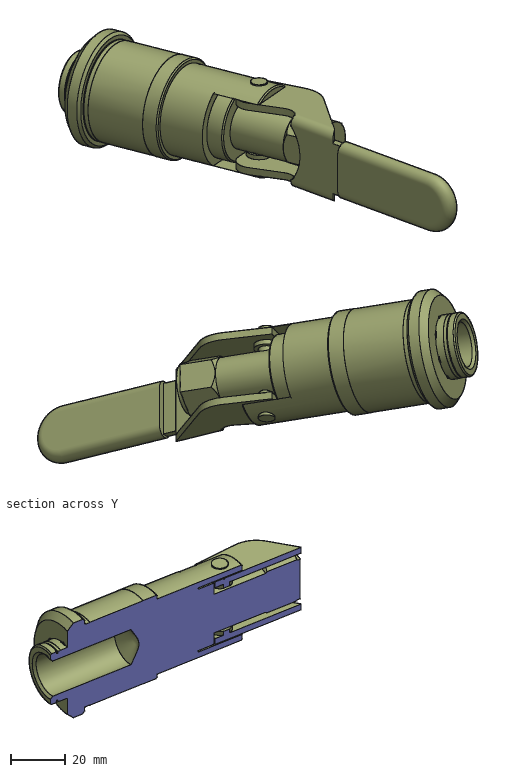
import cadquery as cq
import math

total_length = 178.8

nose_diameter = 24.1
nose_chamfer = 0.5
flange_diameter = 44.2
flange_start = 7.5
flange_end = 15.4
flange_front_chamfer = 2.7
flange_rear_chamfer = 1.0
body_diameter = 38.8
seam_diameter = 38.6
seam_start = 15.7
seam_end = 17.5
rear_band_diameter = 39.0
rear_band_start = 41.1
rear_band_end = 47.5
rear_band_chamfer = 0.5

groove_start = 2.9
groove_end = 4.5
groove_diameter = 22.3
ring_diameter = 24.0
ring_start = 3.2
ring_gap_width = 3.5
ring_gap_angle = 16.0
collar_corner_diameter = 25.0
collar_thickness = 0.4
collar_sides = 8

bore_diameter = 16.8
bore_mouth_diameter = 18.8
bore_mouth_depth = 1.0
bore_depth = 35.8
drill_point_angle = 118.0

clevis_diameter = 35.2
clevis_shoulder = 65.8
clevis_end = 85.3
clevis_chamfer = 0.5
clevis_slot_width = 29.3
sleeve_diameter = 29.0
sleeve_end = 72.8
sleeve_chamfer = 0.5

rod_diameter = 18.8
hex_start = 95.6
hex_end = 109.6
rod_end = 111.0
hex_across_flats = 19.1
hex_chamfer_angle = 45.0

pivot_x = 78.3
pivot_y = 2.0
pin_diameter = 6.3
pin_length = 36.1
washer_diameter = 9.5
washer_spacing = 19.7

sheet = 2.9
lever_width = 29.0
lever_inner_width = lever_width - 2 * sheet
bend_radius = 3.5
lever_tilt = 10.0
cam_front = 73.0
cam_radius = 6.5
cam_lower_y = -10.2
cam_upper_y = 10.4
shoulder_x = 98.5
shoulder_y = 12.9
shoulder_radius = 12.5
slope_end_x = 120.1
slope_end_y = -13.0
web_end_x = 121.2
web_drop = 0.5
lower_rise_angle = 12.5
relief_start_x = 94.5
web_start_x = 100.8
web_start_y = -9.3
web_notch_radius = 16.1
web_notch_apex_x = 105.3
neck_width = 20.4

grip_start_x = 125.3
grip_start_y = -14.8
grip_width = 22.5
grip_thickness = 7.2

tilt = math.radians(lever_tilt)


def cylinder_x(diameter, start, end):
    """Solid cylinder on the clamp axis."""
    return cq.Workplane("YZ").workplane(offset=start).circle(diameter / 2).extrude(end - start)


def make_body():
    nose = cylinder_x(nose_diameter, 0, flange_start).faces("<X").chamfer(nose_chamfer)
    flange = cylinder_x(flange_diameter, flange_start, flange_end)
    flange = flange.faces("<X").chamfer(flange_front_chamfer)
    flange = flange.faces(">X").chamfer(flange_rear_chamfer)
    barrel = cylinder_x(body_diameter, flange_end, rear_band_start)
    seam = cylinder_x(body_diameter, seam_start, seam_end)
    seam = seam.cut(cylinder_x(seam_diameter, seam_start, seam_end))
    band = cylinder_x(rear_band_diameter, rear_band_start, rear_band_end)
    band = band.faces(">X").chamfer(rear_band_chamfer)
    return nose.union(flange).union(barrel.cut(seam)).union(band)


def add_nose_details(body):
    groove = cylinder_x(nose_diameter, groove_start, groove_end)
    groove = groove.cut(cylinder_x(groove_diameter, groove_start, groove_end))
    ring = cylinder_x(ring_diameter, ring_start, groove_end)
    ring_gap = (
        cq.Workplane("XY")
        .box(groove_end, nose_diameter, ring_gap_width)
        .translate((ring_start, -nose_diameter / 2, 0))
        .rotate((0, 0, 0), (1, 0, 0), ring_gap_angle)
    )
    collar = (
        cq.Workplane("YZ")
        .workplane(offset=flange_start - collar_thickness)
        .polygon(collar_sides, collar_corner_diameter)
        .extrude(collar_thickness)
    )
    return body.cut(groove).union(ring.cut(ring_gap)).union(collar)


def make_bore():
    mouth_radius = bore_mouth_diameter / 2
    radius = bore_diameter / 2
    point_depth = radius / math.tan(math.radians(drill_point_angle / 2))
    return (
        cq.Workplane("XY")
        .moveTo(0, 0)
        .lineTo(0, mouth_radius)
        .lineTo(bore_mouth_depth, radius)
        .lineTo(bore_depth, radius)
        .lineTo(bore_depth + point_depth, 0)
        .close()
        .revolve(360, (0, 0, 0), (1, 0, 0))
    )


def make_clevis():
    outer = cylinder_x(clevis_diameter, rear_band_end, clevis_end).faces(">X").chamfer(clevis_chamfer)
    slot_length = clevis_end - clevis_shoulder
    slot = (
        cq.Workplane("XY")
        .box(slot_length, clevis_diameter, clevis_slot_width)
        .translate((clevis_shoulder + slot_length / 2, 0, 0))
    )
    sleeve = cylinder_x(sleeve_diameter, clevis_shoulder, sleeve_end).faces(">X").chamfer(sleeve_chamfer)
    return outer.cut(slot).union(sleeve)


def make_rod():
    rod = cylinder_x(rod_diameter, sleeve_end, hex_end)
    collar = cylinder_x(hex_across_flats, hex_end, rod_end)
    corner_diameter = hex_across_flats / math.cos(math.pi / 6)
    head = (
        cq.Workplane("YZ")
        .workplane(offset=hex_start)
        .polygon(6, corner_diameter)
        .extrude(hex_end - hex_start)
        .rotate((0, 0, 0), (1, 0, 0), 90)
    )
    cone_front_radius = rod_diameter / 2
    cone_length = hex_end - hex_start
    cone_rear_radius = cone_front_radius + cone_length / math.tan(math.radians(hex_chamfer_angle))
    cone = (
        cq.Workplane("XY")
        .moveTo(hex_start, 0)
        .lineTo(hex_start, cone_front_radius)
        .lineTo(hex_end, cone_rear_radius)
        .lineTo(hex_end, 0)
        .close()
        .revolve(360, (0, 0, 0), (1, 0, 0))
    )
    return rod.union(collar).union(head.intersect(cone))


def make_pivot():
    centre = cq.Workplane("XY").center(pivot_x, pivot_y)
    pin = centre.circle(pin_diameter / 2).extrude(pin_length / 2, both=True)
    washers = centre.circle(washer_diameter / 2).extrude(lever_inner_width / 2, both=True)
    washer_gap = centre.circle(washer_diameter / 2).extrude(washer_spacing / 2, both=True)
    return pin.union(washers.cut(washer_gap))


def grip_frame(solid):
    """Place a solid drawn along +X from the origin on the tilted centre line of the grip."""
    return solid.rotate((0, 0, 0), (0, 0, 1), -lever_tilt).translate((grip_start_x, grip_start_y, 0))


def web_face_y(x):
    """Y of the outer face of the lever web at a given X."""
    return grip_start_y - (web_drop + sheet / 2) / math.cos(tilt) - (x - grip_start_x) * math.tan(tilt)


def lever_outline():
    """Side outline of the folded lever, extruded over its full width."""
    web_outer_start_y = web_face_y(web_start_x)
    rise = math.radians(lower_rise_angle)
    cam_centre_x = cam_front + cam_radius
    cam_centre_y = cam_lower_y + cam_radius
    cam_end_x = cam_centre_x + cam_radius * math.sin(rise)
    cam_end_y = cam_centre_y - cam_radius * math.cos(rise)
    cam_mid_angle = (math.pi + 1.5 * math.pi + rise) / 2
    cam_mid = (
        cam_centre_x + cam_radius * math.cos(cam_mid_angle),
        cam_centre_y + cam_radius * math.sin(cam_mid_angle),
    )
    relief_start_y = cam_end_y + (relief_start_x - cam_end_x) * math.tan(rise)
    return (
        cq.Workplane("XY")
        .workplane(offset=-lever_width / 2)
        .moveTo(cam_front, cam_upper_y)
        .lineTo(cam_front, cam_centre_y)
        .threePointArc(cam_mid, (cam_end_x, cam_end_y))
        .lineTo(relief_start_x, relief_start_y)
        .tangentArcPoint((web_start_x, web_start_y), relative=False)
        .lineTo(web_start_x, web_outer_start_y)
        .lineTo(web_end_x, web_face_y(web_end_x))
        .lineTo(slope_end_x, slope_end_y)
        .lineTo(shoulder_x, shoulder_y)
        .close()
        .extrude(lever_width)
    )


def make_lever():
    lever = lever_outline()
    lever = lever.edges(cq.selectors.NearestToPointSelector((shoulder_x, shoulder_y, 0)))
    lever = lever.fillet(shoulder_radius)

    web_middle_x = (web_start_x + web_end_x) / 2
    for side in (-1, 1):
        corner = (web_middle_x, web_face_y(web_middle_x), side * lever_width / 2)
        lever = lever.edges(cq.selectors.NearestToPointSelector(corner)).fillet(bend_radius)

    pocket = grip_frame(
        cq.Workplane("XY")
        .box(total_length, total_length, lever_inner_width)
        .translate((0, total_length / 2 + sheet / 2 - web_drop, 0))
    )
    front_space = (
        cq.Workplane("XY")
        .box(web_start_x - cam_front, total_length, lever_inner_width)
        .translate(((web_start_x + cam_front) / 2, 0, 0))
    )
    lever = lever.cut(pocket).cut(front_space)

    notch = (
        cq.Workplane("XZ")
        .center(web_notch_apex_x - web_notch_radius, 0)
        .circle(web_notch_radius)
        .extrude(total_length / 2, both=True)
    )
    notch_band = cq.Workplane("XY").box(
        2 * total_length, 2 * total_length, lever_width - 2 * bend_radius
    )
    lever = lever.cut(notch.intersect(notch_band))

    neck_length = (grip_start_x - slope_end_x) / math.cos(tilt)
    neck = cq.Workplane("XY").box(2 * neck_length, sheet, neck_width).translate((0, -web_drop, 0))
    return lever.union(grip_frame(neck))


def make_grip():
    edge_radius = grip_thickness / 2
    core_half_width = grip_width / 2 - edge_radius
    tip_reach = core_half_width * math.cos(tilt) + edge_radius
    length = (total_length - tip_reach - grip_start_x) / math.cos(tilt)

    core = cq.Workplane("XY").box(length, grip_thickness, 2 * core_half_width).translate((length / 2, 0, 0))
    section = (
        cq.Workplane("XY")
        .moveTo(0, -edge_radius)
        .lineTo(core_half_width, -edge_radius)
        .threePointArc((core_half_width + edge_radius, 0), (core_half_width, edge_radius))
        .lineTo(0, edge_radius)
        .close()
    )
    tip = section.revolve(360, (0, 0, 0), (0, 1, 0)).translate((length, 0, 0))
    grip = core.union(tip)
    for side in (-1, 1):
        edge = cylinder_x(grip_thickness, 0, length).translate((0, 0, side * core_half_width))
        grip = grip.union(edge)
    return grip_frame(grip)


body = add_nose_details(make_body()).cut(make_bore())
result = body.union(make_clevis()).union(make_rod()).union(make_pivot())
result = result.union(make_lever()).union(make_grip())